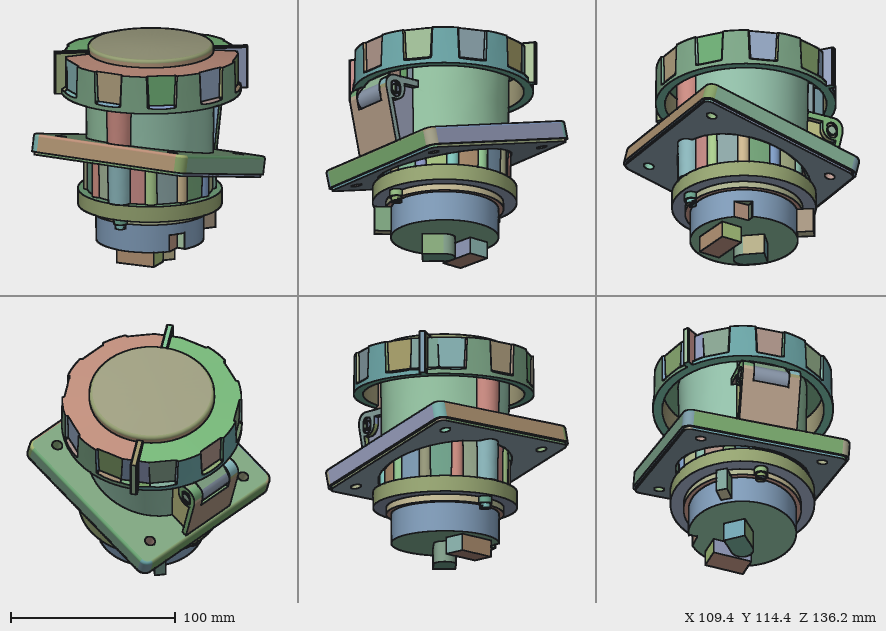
import cadquery as cq
import math


CONTACT_BLOCK_BOTTOM = 2.6
BARREL_BOTTOM = 12.8
SCREW_BOTTOM = 28.0
DISC_BOTTOM = 30.9
FLANGE_BOTTOM = 35.0
FLANGE_TOP = 44.7
CAP_BOTTOM = 105.9
TUBE_TOP = 122.6
CAP_EDGE_TOP = 128.9
CAP_TOP = 130.3
OVERALL_HEIGHT = 136.2

AXIS_Y = -1.2
TUBE_BOTTOM_RADIUS = 38.2
TUBE_TOP_RADIUS = 39.1
FLANGE_RADIUS = 43.7
BOSS_RADIUS = 4.1
BOSS_CIRCLE = 36.1
BOSS_COUNT = 12
KEYWAY_DISTANCE = 37.7
KEYWAY_BOTTOM_RADIUS = 7.0
KEYWAY_TOP_RADIUS = 8.3

TILT = 14.0
PLATE_CENTRE = (0, -3.0, 65.4)
PLATE_WIDTH = 106.0
PLATE_LENGTH = 109.5
PLATE_THICKNESS = 12.8
LIP_HEIGHT = 1.8
LIP_INSET = 1.5
OPENING_RADIUS = 40.6
OPENING_DEPTH = 1.8
PLATE_CORNER = 5.6
PLATE_EDGE_FILLET = 1.6
MOUNT_HOLE_RADIUS = 3.1
MOUNT_HOLE_X = 77.4
MOUNT_HOLE_Y = 84.7

PIN_Y = 49.9
PIN_Z = 92.8
PIN_RADIUS = 3.0
PIN_SLOT = 1.1
PIN_SLOT_DEPTH = 0.8
LUG_OUTER_X = 18.3
WEB_X = 15.0
KNUCKLE_X = 11.2
LUG_BACK_Y = 57.2
LUG_TOP = 101.2
LUG_CORNER = 6.1
LUG_ARM_HEIGHT = 4.1
LUG_BOSS_RADIUS = 6.5
LUG_STRIP = 3.3
LUG_SLOPE = 12.5
RECESS_WIDTH = 7.0
RECESS_HEIGHT = 10.1
RECESS_DEPTH = 1.4
WEB_PAD_Y = 38.7
KNUCKLE_RADIUS = 7.0
ARM_FRONT_Y = 41.3
ARM_BACK_Y = 48.2

CAP_RADIUS = 54.7
CAP_TOP_RADIUS = 54.4
CAP_CAVITY_RADIUS = 49.0
LID_RADIUS = 38.0
LID_SHOULDER = 134.9
LID_FILLET = 1.9
POCKET_COUNT = 10
POCKET_DEPTH = 1.2
POCKET_START_DEPTH = 2.0
POCKET_BOTTOM = 110.4
POCKET_TOP_HALF_WIDTH = 8.9
POCKET_BOTTOM_HALF_WIDTH = 7.6
POCKET_DRAFT = 36.0
GRIP_ANGLES = (36, 216)
GRIP_WIDTH = 4.1
GRIP_REACH = 58.9
GRIP_TOP = 131.8
GRIP_CHAMFER = 0.5

DISC_RADIUS = 35.7
BARREL_RADIUS = 32.7
SCREW_DISTANCE = 36.8
SCREW_POST_RADIUS = 4.1
SCREW_RADIUS = 3.2
SCREW_SLOT = 1.6
SCREW_SLOT_DEPTH = 1.2
KEY_ANGLE = 55.0
KEY_WIDTH = 6.8
KEY_REACH = 42.6
KEY_BOTTOM = 15.5
NOTCH_X = 25.1
NOTCH_WIDTH = 5.3
NOTCH_TOP = 23.2
NOTCH_FLOOR_Y = -12.3
BLOCK_CENTRE = (3.1, -19.3)
BLOCK_LENGTH = 24.7
BLOCK_WIDTH = 13.9
BLOCK_ANGLE = 4.0
TONGUE_CENTRE = (0.3, -0.8)
TONGUE_RADIUS = 6.8
TONGUE_LENGTH = 13.1
TONGUE_ANGLE = 51.0


def cylinder(radius, bottom, top, x=0, y=AXIS_Y):
    return cq.Workplane("XY", origin=(x, y, bottom)).circle(radius).extrude(top - bottom)


def cone(bottom_radius, top_radius, bottom, top, y):
    solid = cq.Solid.makeCone(bottom_radius, top_radius, top - bottom, cq.Vector(0, y, bottom))
    return cq.Workplane(solid)


def box(x_range, y_range, z_range):
    (x0, x1), (y0, y1), (z0, z1) = x_range, y_range, z_range
    return cq.Workplane("XY").box(x1 - x0, y1 - y0, z1 - z0, centered=False).translate((x0, y0, z0))


def side_plane(x):
    """Plane across X, with sketch axes along Y and Z and extrusion toward +X."""
    return cq.Workplane("YZ", origin=(x, 0, 0))


def plate_plane(offset=0):
    """Plane parallel to the tilted plate, at an offset from its middle."""
    tilt = math.radians(TILT)
    normal = (0, math.sin(tilt), math.cos(tilt))
    middle = cq.Plane(origin=PLATE_CENTRE, xDir=(1, 0, 0), normal=normal)
    return cq.Workplane(middle).workplane(offset=offset)


def plate_mid_z(y):
    return PLATE_CENTRE[2] - (y - PLATE_CENTRE[1]) * math.tan(math.radians(TILT))


def mounting_plate():
    """Rounded plate with an inset lip, four screw holes and a clearance round the tube."""
    half_thickness = PLATE_THICKNESS / 2
    upright = cq.selectors.ParallelDirSelector(plate_plane().plane.zDir)
    upper = (
        plate_plane(LIP_HEIGHT - half_thickness)
        .rect(PLATE_WIDTH, PLATE_LENGTH)
        .extrude(PLATE_THICKNESS - LIP_HEIGHT)
        .edges(upright)
        .fillet(PLATE_CORNER)
        .faces(cq.selectors.DirectionMinMaxSelector(plate_plane().plane.zDir, True))
        .edges()
        .fillet(PLATE_EDGE_FILLET)
    )
    lip = (
        plate_plane(-half_thickness)
        .rect(PLATE_WIDTH - 2 * LIP_INSET, PLATE_LENGTH - 2 * LIP_INSET)
        .extrude(LIP_HEIGHT)
        .edges(upright)
        .fillet(PLATE_CORNER - LIP_INSET)
    )
    holes = (
        plate_plane()
        .rect(MOUNT_HOLE_X, MOUNT_HOLE_Y, forConstruction=True)
        .vertices()
        .circle(MOUNT_HOLE_RADIUS)
        .extrude(PLATE_THICKNESS, both=True)
    )
    opening_layer = (
        plate_plane(-half_thickness).rect(PLATE_WIDTH, PLATE_LENGTH).extrude(OPENING_DEPTH)
    )
    opening = cylinder(OPENING_RADIUS, FLANGE_TOP, CAP_BOTTOM).intersect(opening_layer)
    return upper.union(lip).cut(holes).cut(opening)


def boss_ring():
    """Round bosses around the tube, ending at the middle of the tilted plate."""
    bosses = (
        cq.Workplane("XY", origin=(0, AXIS_Y, FLANGE_TOP))
        .polarArray(BOSS_CIRCLE, 0, 360, BOSS_COUNT)
        .circle(BOSS_RADIUS)
        .extrude(CAP_BOTTOM - FLANGE_TOP)
    )
    above_plate = plate_plane().rect(2 * PLATE_WIDTH, 2 * PLATE_LENGTH).extrude(CAP_BOTTOM)
    return bosses.cut(above_plate)


def lug_back_y(z):
    """Sloping back edge of the lugs below the pin."""
    return LUG_BACK_Y - (PIN_Z - z) * math.tan(math.radians(LUG_SLOPE))


def back_outline(x, thickness):
    """Slab between the tube and the sloping back edge, from the plate up to the lug top."""
    foot = plate_mid_z(PIN_Y)
    return (
        side_plane(x)
        .moveTo(0, foot)
        .lineTo(lug_back_y(foot), foot)
        .lineTo(LUG_BACK_Y, PIN_Z)
        .lineTo(LUG_BACK_Y, LUG_TOP - LUG_CORNER)
        .radiusArc((LUG_BACK_Y - LUG_CORNER, LUG_TOP), -LUG_CORNER)
        .lineTo(0, LUG_TOP)
        .close()
        .extrude(thickness)
    )


def lug(x):
    """Raised cheek: a top arm, a boss round the pin and a strip down the back edge."""
    thickness = LUG_OUTER_X - KNUCKLE_X
    foot = plate_mid_z(PIN_Y)
    strip = LUG_STRIP / math.cos(math.radians(LUG_SLOPE))
    corner_z = PIN_Z - LUG_BOSS_RADIUS
    boss_front = PIN_Y - LUG_BOSS_RADIUS
    window = (
        side_plane(x)
        .moveTo(0, foot)
        .lineTo(lug_back_y(foot) - strip, foot)
        .lineTo(lug_back_y(corner_z) - strip, corner_z)
        .lineTo(PIN_Y, corner_z)
        .radiusArc((boss_front, PIN_Z), LUG_BOSS_RADIUS)
        .lineTo(boss_front, LUG_TOP - LUG_ARM_HEIGHT)
        .lineTo(0, LUG_TOP - LUG_ARM_HEIGHT)
        .close()
        .extrude(thickness)
    )
    return back_outline(x, thickness).cut(window)


def hinge_bracket():
    bracket = back_outline(-WEB_X, 2 * WEB_X)
    pad = box((-WEB_X, WEB_X), (0, WEB_PAD_Y), (PIN_Z, TUBE_TOP))
    bracket = bracket.union(pad).union(lug(-LUG_OUTER_X)).union(lug(KNUCKLE_X))
    knuckle_gap = box(
        (-KNUCKLE_X, KNUCKLE_X),
        (WEB_PAD_Y, LUG_BACK_Y),
        (PIN_Z - KNUCKLE_RADIUS, CAP_BOTTOM),
    )
    bracket = bracket.cut(knuckle_gap)
    for x in (-LUG_OUTER_X, LUG_OUTER_X - RECESS_DEPTH):
        recess = (
            side_plane(x).center(PIN_Y, PIN_Z).slot2D(RECESS_HEIGHT, RECESS_WIDTH, 90).extrude(RECESS_DEPTH)
        )
        bracket = bracket.cut(recess)
    return bracket.cut(pin_blank())


def make_housing():
    tube = cone(TUBE_BOTTOM_RADIUS, TUBE_TOP_RADIUS, FLANGE_TOP, TUBE_TOP, AXIS_Y)
    keyway = cone(
        KEYWAY_BOTTOM_RADIUS, KEYWAY_TOP_RADIUS, FLANGE_TOP, TUBE_TOP, AXIS_Y - KEYWAY_DISTANCE
    )
    flange = cylinder(FLANGE_RADIUS, FLANGE_BOTTOM, FLANGE_TOP)
    housing = flange.union(tube).union(keyway).union(boss_ring())
    return housing.union(mounting_plate()).union(hinge_bracket())


def pin_blank():
    return side_plane(-LUG_OUTER_X).center(PIN_Y, PIN_Z).circle(PIN_RADIUS).extrude(2 * LUG_OUTER_X)


def make_pin():
    half_slot = PIN_SLOT / 2
    slot = box(
        (-LUG_OUTER_X, -LUG_OUTER_X + PIN_SLOT_DEPTH),
        (PIN_Y - half_slot, PIN_Y + half_slot),
        (PIN_Z - PIN_RADIUS, PIN_Z + PIN_RADIUS),
    )
    return pin_blank().cut(slot)


def cap_body():
    """Ring with a slightly conical top, a domed lid in its middle and a cavity below."""
    dome_start = LID_RADIUS - LID_FILLET
    diagonal = LID_FILLET * math.sqrt(0.5)
    fillet_middle = (dome_start + diagonal, LID_SHOULDER - LID_FILLET + diagonal)
    rise = OVERALL_HEIGHT - LID_SHOULDER
    dome_radius = (dome_start ** 2 + rise ** 2) / (2 * rise)
    return (
        cq.Workplane("XZ")
        .moveTo(0, TUBE_TOP)
        .lineTo(CAP_CAVITY_RADIUS, TUBE_TOP)
        .lineTo(CAP_CAVITY_RADIUS, CAP_BOTTOM)
        .lineTo(CAP_RADIUS, CAP_BOTTOM)
        .lineTo(CAP_TOP_RADIUS, CAP_EDGE_TOP)
        .lineTo(LID_RADIUS, CAP_TOP)
        .lineTo(LID_RADIUS, LID_SHOULDER - LID_FILLET)
        .threePointArc(fillet_middle, (dome_start, LID_SHOULDER))
        .radiusArc((0, OVERALL_HEIGHT), -dome_radius)
        .close()
        .revolve(360, (0, 0, 0), (0, 1, 0))
    )


def pocket_wedge(angle, extra_half_width=0):
    """Trapezoid that narrows downward and opens outward, pointing along the given angle."""
    bottom_half_width = POCKET_BOTTOM_HALF_WIDTH + extra_half_width
    top_half_width = POCKET_TOP_HALF_WIDTH + extra_half_width
    direction = math.radians(angle)
    outward = (math.cos(direction), math.sin(direction), 0)
    sideways = (-math.sin(direction), math.cos(direction), 0)
    start = CAP_TOP_RADIUS - POCKET_START_DEPTH
    origin = (start * outward[0], start * outward[1], 0)
    return (
        cq.Workplane(cq.Plane(origin=origin, xDir=sideways, normal=outward))
        .moveTo(-bottom_half_width, POCKET_BOTTOM)
        .lineTo(bottom_half_width, POCKET_BOTTOM)
        .lineTo(top_half_width, OVERALL_HEIGHT)
        .lineTo(-top_half_width, OVERALL_HEIGHT)
        .close()
        .extrude(CAP_RADIUS - start + POCKET_DEPTH, taper=-POCKET_DRAFT)
    )


def pockets():
    """Shallow pockets around the ring; those on both sides of a grip join beneath it."""
    pitch = 360 / POCKET_COUNT
    floor = cone(
        CAP_RADIUS - POCKET_DEPTH, CAP_TOP_RADIUS - POCKET_DEPTH, CAP_BOTTOM, CAP_EDGE_TOP, 0
    )
    floor = floor.union(cylinder(CAP_TOP_RADIUS - POCKET_DEPTH, CAP_EDGE_TOP, OVERALL_HEIGHT, y=0))
    wedges = cq.Workplane("XY")
    for i in range(POCKET_COUNT):
        wedges = wedges.add(pocket_wedge((i + 0.5) * pitch))
    for angle in GRIP_ANGLES:
        wedges = wedges.add(pocket_wedge(angle, GRIP_WIDTH / 2))
    return wedges.combine().cut(floor)


def grip(angle):
    """Bar across the top of the ring and down its side, with chamfered outer edges."""
    half_width = GRIP_WIDTH / 2
    bar = box((0, GRIP_REACH), (-half_width, half_width), (CAP_BOTTOM, GRIP_TOP))
    bar = bar.edges("(|X and >Z) or (|Z and >X)").chamfer(GRIP_CHAMFER)
    hollow = box((0, CAP_CAVITY_RADIUS), (-half_width, half_width), (CAP_BOTTOM, TUBE_TOP))
    return bar.cut(hollow).rotate((0, 0, 0), (0, 0, 1), angle)


def cap_arm():
    """Arm that hangs from the cap ceiling, with a knuckle round the hinge pin."""
    slope_height = KNUCKLE_RADIUS * math.sqrt(0.5)
    knuckle_y = PIN_Y + slope_height
    knuckle_z = PIN_Z + slope_height
    arm = (
        side_plane(-KNUCKLE_X)
        .moveTo(ARM_FRONT_Y, TUBE_TOP)
        .lineTo(ARM_BACK_Y, TUBE_TOP)
        .lineTo(ARM_BACK_Y, CAP_BOTTOM)
        .lineTo(knuckle_y, knuckle_z)
        .lineTo(PIN_Y, PIN_Z)
        .lineTo(ARM_FRONT_Y + LUG_STRIP, PIN_Z)
        .lineTo(ARM_FRONT_Y, LUG_TOP)
        .close()
        .extrude(2 * KNUCKLE_X)
    )
    knuckle = side_plane(-KNUCKLE_X).center(PIN_Y, PIN_Z).circle(KNUCKLE_RADIUS).extrude(2 * KNUCKLE_X)
    return arm.union(knuckle).cut(pin_blank())


def make_cap():
    cap = cap_body().cut(pockets())
    for angle in GRIP_ANGLES:
        cap = cap.union(grip(angle))
    return cap.union(cap_arm())


def screw(y):
    post = cylinder(SCREW_POST_RADIUS, DISC_BOTTOM, FLANGE_BOTTOM, y=y)
    head = cylinder(SCREW_RADIUS, SCREW_BOTTOM, DISC_BOTTOM, y=y)
    slot = box(
        (-SCREW_RADIUS, SCREW_RADIUS),
        (y - SCREW_SLOT / 2, y + SCREW_SLOT / 2),
        (SCREW_BOTTOM, SCREW_BOTTOM + SCREW_SLOT_DEPTH),
    )
    return post.union(head.cut(slot))


def side_key():
    key = box((0, KEY_REACH), (-KEY_WIDTH / 2, KEY_WIDTH / 2), (KEY_BOTTOM, DISC_BOTTOM))
    return key.rotate((0, 0, 0), (0, 0, 1), KEY_ANGLE).translate((0, AXIS_Y, 0))


def contact_block():
    return (
        cq.Workplane("XY")
        .rect(BLOCK_LENGTH, BLOCK_WIDTH)
        .extrude(BARREL_BOTTOM - CONTACT_BLOCK_BOTTOM)
        .rotate((0, 0, 0), (0, 0, 1), BLOCK_ANGLE)
        .translate((*BLOCK_CENTRE, CONTACT_BLOCK_BOTTOM))
    )


def contact_tongue():
    """Bar with one rounded end."""
    return (
        cq.Workplane("XY")
        .moveTo(0, TONGUE_RADIUS)
        .threePointArc((-TONGUE_RADIUS, 0), (0, -TONGUE_RADIUS))
        .lineTo(TONGUE_LENGTH, -TONGUE_RADIUS)
        .lineTo(TONGUE_LENGTH, TONGUE_RADIUS)
        .close()
        .extrude(BARREL_BOTTOM)
        .rotate((0, 0, 0), (0, 0, 1), TONGUE_ANGLE)
        .translate((*TONGUE_CENTRE, 0))
    )


def make_insert():
    notch = box(
        (NOTCH_X, NOTCH_X + NOTCH_WIDTH),
        (AXIS_Y - BARREL_RADIUS, NOTCH_FLOOR_Y),
        (BARREL_BOTTOM, NOTCH_TOP),
    )
    barrel = cylinder(BARREL_RADIUS, BARREL_BOTTOM, DISC_BOTTOM).cut(notch)
    insert = cylinder(DISC_RADIUS, DISC_BOTTOM, FLANGE_BOTTOM).union(barrel).union(side_key())
    for y in (AXIS_Y - SCREW_DISTANCE, AXIS_Y + SCREW_DISTANCE):
        insert = insert.union(screw(y))
    return insert.union(contact_block()).union(contact_tongue())


housing = make_housing()
cap = make_cap()
pin = make_pin()
insert = make_insert()

result = cq.Compound.makeCompound([body.solids().val() for body in (housing, cap, pin, insert)])